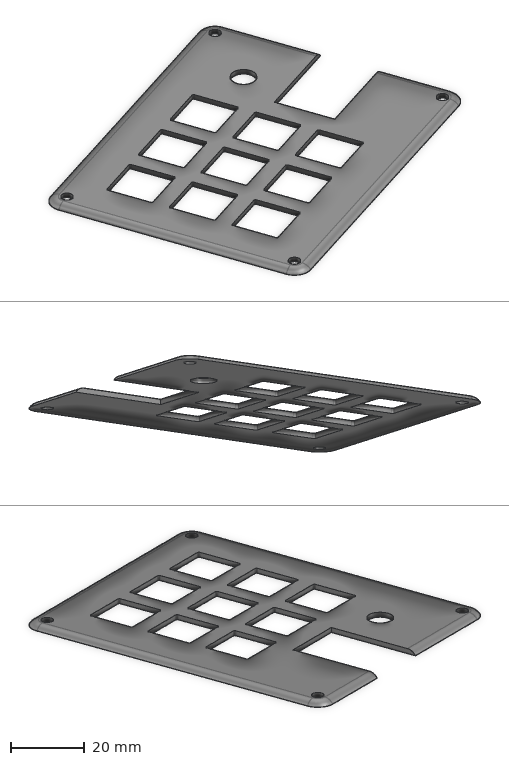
import cadquery as cq
import math

width = 79.0
length = 99.0
thickness = 1.5
corner_radius = 4.95
edge_radius = 3.1

screw_hole_diameter = 3.4

key_count = 3
key_size = 14.0
key_pitch = 19.0
key_corner_radius = 0.5
key_grid_center = (-0.5, -10.8)

round_hole_diameter = 7.2
round_hole_center = (-18.0, 28.9)

notch_width = 18.3
notch_depth = 27.7
notch_center_x = 4.2


def rounded_plate():
    """Plate whose top edge is an arc cut short by the bottom face."""
    arc_inset = math.sqrt(edge_radius**2 - (edge_radius - thickness) ** 2)
    overhang = edge_radius - arc_inset
    block_width = width + 2 * overhang
    block_length = length + 2 * overhang
    block_height = 2 * edge_radius
    block = (
        cq.Workplane("XY")
        .workplane(offset=thickness - block_height)
        .rect(block_width, block_length)
        .extrude(block_height)
        .edges("|Z")
        .fillet(corner_radius + overhang)
        .faces(">Z")
        .edges()
        .fillet(edge_radius)
    )
    plate_layer = cq.Workplane("XY").rect(block_width, block_length).extrude(thickness)
    return block.intersect(plate_layer)


def screw_holes():
    spacing_x = width - 2 * corner_radius
    spacing_y = length - 2 * corner_radius
    return (
        cq.Workplane("XY")
        .rect(spacing_x, spacing_y, forConstruction=True)
        .vertices()
        .circle(screw_hole_diameter / 2)
        .extrude(thickness)
    )


def key_openings():
    return (
        cq.Workplane("XY")
        .center(*key_grid_center)
        .rarray(key_pitch, key_pitch, key_count, key_count)
        .rect(key_size, key_size)
        .extrude(thickness)
        .edges("|Z")
        .fillet(key_corner_radius)
    )


def round_hole():
    return (
        cq.Workplane("XY")
        .center(*round_hole_center)
        .circle(round_hole_diameter / 2)
        .extrude(thickness)
    )


def notch():
    return (
        cq.Workplane("XY")
        .center(notch_center_x, length / 2)
        .rect(notch_width, 2 * notch_depth)
        .extrude(thickness)
    )


result = rounded_plate()
for cutter in (screw_holes(), key_openings(), round_hole(), notch()):
    result = result.cut(cutter)